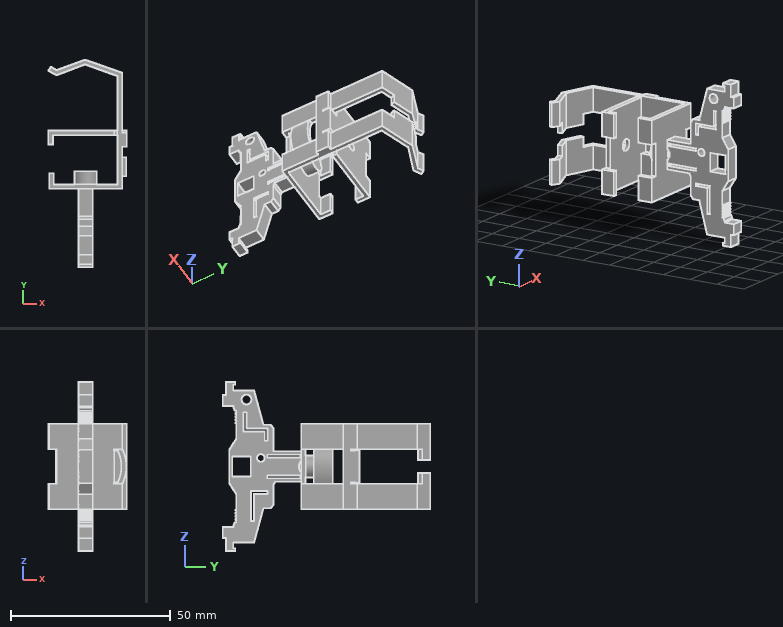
import cadquery as cq
import math

half_height = 13.45
wall = 1.55
arm_right = 11.55
arm_left = arm_right - wall
plate_left = -11.5
plate_thickness = 1.45
plate_lip_end = 4.95
shelf_left = -11.75
shelf_back = 18.35
shelf_front = shelf_back - wall
shelf_right = 8.95
shelf_lip_end = 13.9
lip_thickness = 1.5

apex_x, apex_y = -0.2, 40.6
ridge_inner_y = 39.0
valley_outer_y = 37.3
valley_x, valley_y = -9.15, 35.6
eaves_y, eaves_outer_y = 35.4, 36.5
tip_x, tip_y = shelf_left, 37.1
tip_dx, tip_dy = 0.85, 1.3

notch_half = 5.4
notch_depth = 2.4
window_left = 8.95
roof_slot_half = 2.0
roof_notch_left = -5.5
roof_notch_right = 6.4
roof_notch_length = 7.8

block_right = 12.9
block_front, block_back = 13.2, 17.7
latch_front = 15.65
latch_half = 5.1
spring_front, spring_back = 3.9, 10.0
spring_bulge = 1.25
spring_inner_half = 5.3

boss_diameter = 7.05
boss_end = 5.55
shelf_hole_diameter = 3.8
groove_core_radius = 2.0
groove_outer_radius = 2.9
groove_depth = 0.7
groove_shoulder_radius, groove_shoulder_depth = 2.6, 0.4

foot_half_width = 2.3
foot_front = -24.7
foot_height = 53.2
foot_half_height = foot_height / 2
end_face = -23.6
end_back = -21.3
end_hook_back = -20.6
end_hook_z = 25.65
jaw_inner_z, jaw_outer_z = 18.9, 22.5
seat_chamfer_y, seat_chamfer_z = -20.8, 18.5
seat_end_z = 17.5
seat_start_z = 8.7
nose_face, nose_half = -22.65, 5.2
wing_back, wing_half_height = -14.75, 23.9
wing_root = -11.8
pad_back, pad_half_height = -8.6, 13.1
pad_chamfer_y, pad_chamfer_z = -9.5, 11.95
stem_half = 4.8
stem_corner_y, stem_corner_z = -8.15, -5.75

tooth_face = -20.4
tooth_height = 0.23
tooth_pitch = 1.0
tooth_count = 4
tooth_tip = 0.2
tooth_base = 0.6
first_tooth_z = 13.7

large_hole_y, large_hole_z, large_hole_diameter = -17.15, 21.0, 3.0
small_hole_y, small_hole_z, small_hole_diameter = -12.65, 2.7, 2.35
opening_front, opening_back, opening_half = -21.6, -15.85, 3.05
slit = 0.85
stem_slit_front, stem_slit_back, stem_slit_z = -10.65, -0.3, 3.25
pad_slit_back = -10.6
upper_slit_front, upper_slit_z = -18.1, 11.9
upper_slit_low, upper_slit_high = 8.15, 17.05
lower_slit_front, lower_slit_z, lower_slit_low = -15.7, -7.75, -17.1


def box(x0, x1, y0, y1, z0, z1):
    """Block given by its bounds."""
    return cq.Workplane("XY").box(x1 - x0, y1 - y0, z1 - z0, centered=False).translate((x0, y0, z0))


def tall_box(x0, x1, y0, y1, half=half_height):
    """Block centred on Z = 0."""
    return box(x0, x1, y0, y1, -half, half)


def extrude_outline(points, half):
    """XY outline extruded by the given half height up and down."""
    return cq.Workplane("XY").polyline(points).close().extrude(half, both=True)


def roof_notch(edge_x, low_x, low_y):
    """Cutter square to the roof slope falling from the ridge to (low_x, low_y), starting at edge_x."""
    slope = (ridge_inner_y - low_y) / (apex_x - low_x)
    edge_y = ridge_inner_y + slope * (edge_x - apex_x)
    start, end = sorted((0, math.copysign(roof_notch_length, low_x - apex_x)))
    cutter = tall_box(start, end, -wall, 3 * wall, notch_half)
    cutter = cutter.rotate((0, 0, 0), (0, 0, 1), math.degrees(math.atan(slope)))
    return cutter.translate((edge_x, edge_y, 0))


def make_clip():
    """Front plate with lip, long arm and folded roof, with their cut-outs."""
    outline = [
        (plate_left, 0),
        (arm_right, 0),
        (arm_right, eaves_outer_y),
        (apex_x, apex_y),
        (valley_x, valley_outer_y),
        (tip_x + tip_dx, tip_y + tip_dy),
        (tip_x, tip_y),
        (valley_x, valley_y),
        (apex_x, ridge_inner_y),
        (arm_left, eaves_y),
        (arm_left, plate_thickness),
        (plate_left + lip_thickness, plate_thickness),
        (plate_left + lip_thickness, plate_lip_end),
        (plate_left, plate_lip_end),
    ]
    clip = extrude_outline(outline, half_height)
    clip = clip.union(tall_box(arm_left, block_right, block_front, block_back))

    clip = clip.cut(tall_box(plate_left, plate_left + notch_depth, 0, plate_lip_end, notch_half))
    clip = clip.cut(tall_box(window_left, arm_right, 0, apex_y, notch_half))
    clip = clip.cut(tall_box(arm_right, block_right, latch_front, block_back, notch_half))
    roof_bottom = valley_y - wall
    clip = clip.cut(roof_notch(roof_notch_left, valley_x, valley_y))
    clip = clip.cut(roof_notch(roof_notch_right, arm_left, eaves_y))
    return clip.cut(tall_box(tip_x, arm_right, roof_bottom, apex_y, roof_slot_half))


def make_shelf():
    """Cross shelf with a left lip and a latch reaching through the arm window."""
    shelf = tall_box(shelf_left, shelf_right, shelf_front, shelf_back)
    shelf = shelf.union(tall_box(shelf_left, shelf_left + lip_thickness, shelf_lip_end, shelf_back))
    shelf = shelf.cut(tall_box(shelf_left, shelf_left + notch_depth, shelf_lip_end, shelf_back, notch_half))
    shelf = shelf.union(tall_box(shelf_right, block_right, shelf_front, shelf_back, latch_half))
    shelf = shelf.union(tall_box(arm_right, block_right, latch_front, shelf_back, latch_half))
    hole = cq.Workplane("XZ", origin=(0, shelf_back, 0)).circle(shelf_hole_diameter / 2).extrude(wall)
    return shelf.cut(hole)


def make_spring():
    """Bowed strip bridging the arm window."""
    return (
        cq.Workplane("XZ", origin=(0, spring_back, 0))
        .moveTo(arm_left, -spring_inner_half)
        .threePointArc((arm_left + spring_bulge, 0), (arm_left, spring_inner_half))
        .lineTo(arm_left, notch_half)
        .lineTo(arm_right, notch_half)
        .threePointArc((arm_right + spring_bulge, 0), (arm_right, -notch_half))
        .lineTo(arm_left, -notch_half)
        .close()
        .extrude(spring_back - spring_front)
    )


def make_boss():
    """Round boss on the back of the front plate."""
    return cq.Workplane("XZ").circle(boss_diameter / 2).extrude(-boss_end)


def upper_edge():
    """Upper half of the foot's front edge, from the nose up to the pad, as (Y, Z) points."""
    points = [(nose_face, nose_half), (tooth_face, seat_start_z)]
    for i in range(tooth_count):
        z = first_tooth_z + i * tooth_pitch
        points += [
            (tooth_face, z - tooth_base / 2),
            (tooth_face - tooth_height, z - tooth_tip / 2),
            (tooth_face - tooth_height, z + tooth_tip / 2),
            (tooth_face, z + tooth_base / 2),
        ]
    points += [
        (tooth_face, seat_end_z),
        (seat_chamfer_y, seat_end_z),
        (end_back, seat_chamfer_z),
        (end_back, jaw_inner_z),
        (foot_front, jaw_inner_z),
        (foot_front, jaw_outer_z),
        (end_face, jaw_outer_z),
        (end_face, foot_half_height),
        (end_hook_back, foot_half_height),
        (end_hook_back, end_hook_z),
        (end_back, end_hook_z),
        (end_back, wing_half_height),
        (wing_back, wing_half_height),
        (wing_root, pad_half_height),
        (pad_chamfer_y, pad_half_height),
        (pad_back, pad_chamfer_z),
    ]
    return points


def make_foot():
    """Flat rail foot standing on the front plate."""
    upper = upper_edge()
    lower = [(y, -z) for y, z in reversed(upper)]
    stem_top = [(pad_back, stem_half), (0, stem_half)]
    stem_bottom = [(0, -stem_half), (stem_corner_y, -stem_half), (pad_back, stem_corner_z)]
    outline = upper + stem_top + stem_bottom + lower
    foot = cq.Workplane("YZ").polyline(outline).close().extrude(foot_half_width, both=True)

    def through(y0, y1, z0, z1):
        return box(-foot_half_width, foot_half_width, y0, y1, z0, z1)

    def bore(y, z, diameter):
        return cq.Workplane("YZ").center(y, z).circle(diameter / 2).extrude(foot_half_width, both=True)

    foot = foot.cut(bore(large_hole_y, large_hole_z, large_hole_diameter))
    foot = foot.cut(bore(small_hole_y, small_hole_z, small_hole_diameter))
    foot = foot.cut(through(opening_front, opening_back, -opening_half, opening_half))
    for z in (-stem_slit_z, stem_slit_z):
        foot = foot.cut(through(stem_slit_front, stem_slit_back, z - slit / 2, z + slit / 2))
    foot = foot.cut(through(pad_slit_back - slit, pad_slit_back, upper_slit_low, upper_slit_z))
    foot = foot.cut(through(upper_slit_front, pad_slit_back, upper_slit_z - slit, upper_slit_z))
    foot = foot.cut(through(upper_slit_front, upper_slit_front + slit, upper_slit_z - slit, upper_slit_high))
    foot = foot.cut(through(lower_slit_front, pad_slit_back, lower_slit_z - slit, lower_slit_z))
    foot = foot.cut(through(lower_slit_front, lower_slit_front + slit, lower_slit_low, lower_slit_z))
    groove = (
        cq.Workplane("XY")
        .moveTo(groove_core_radius, 0)
        .lineTo(groove_outer_radius, 0)
        .threePointArc((groove_shoulder_radius, -groove_shoulder_depth), (groove_core_radius, -groove_depth))
        .close()
        .revolve(360, (0, 0, 0), (0, 1, 0))
    )
    return foot.cut(groove)


result = make_clip().union(make_shelf()).union(make_spring()).union(make_boss()).union(make_foot())